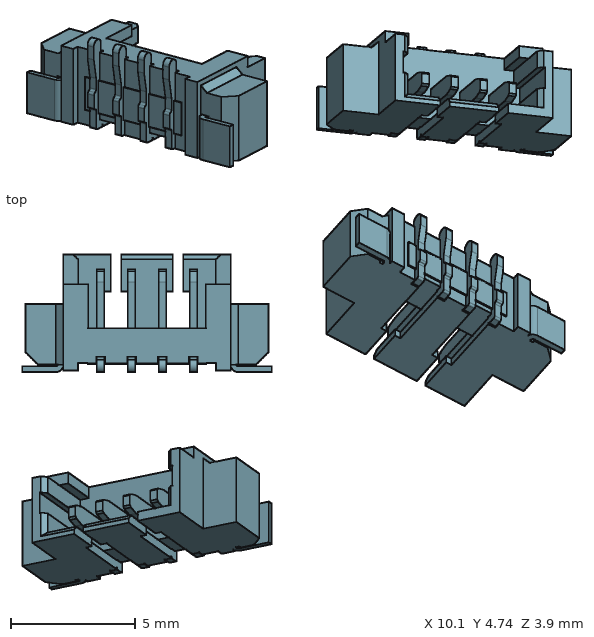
import cadquery as cq


length = 10.05
depth = 4.74
height = 3.9

housing_half = 3.38
housing_height = 3.3
rib_front = 0.06
rib_width = 0.6
wall_front = 0.36
wall_back = 1.78
rail_inner = 2.37
rail_back = 3.55
side_height = 2.81
side_inner = housing_half - rib_width
floor_top = 0.39
entry_chamfer = 0.2

groove_depth = 0.26
groove_bottom = 1.23
groove_top = 2.11

window_back = 3.25
notch_inner = 1.05
notch_width = 0.41

plate_half = 2.39
plate_front = 0.31
plate_bottom = 0.66
plate_top = 2.09

pin_count = 4
pin_pitch = 1.25
pin_width = 0.31
pin_thickness = 0.49
pin_radius = pin_thickness / 2
pin_neck_front = 0.16
pin_bump_front = 0.02
bend_top = 3.11
bend_bottom = 2.24
bump_top = 1.76
bump_upper_edge = 1.55
bump_lower_edge = 0.99
bump_bottom = 0.83
toe_radius = 0.09
pin_slot_width = 0.36
pin_slot_back = 0.62

blade_top = 1.65
blade_bottom = 0.86
blade_end = 4.15
taper_start = 3.64
taper_end = 4.06
taper_drop = 0.1
tip_drop = 0.18

ear_half = 4.89
ear_front = 0.3
ear_back = 2.75
ear_corner = 0.5
ear_ramp_width = 0.3
ear_ramp_height = 0.26

tab_thickness = 0.24
tab_height = 1.78
tab_inner_radius = 0.08
tab_bend_center = 3.68
tab_leg_end = 0.5
tab_clearance = 0.04
tab_recess_width = 0.37
tab_recess_depth = 0.1

pin_places = [(i - (pin_count - 1) / 2) * pin_pitch for i in range(pin_count)]


def block(x0, x1, y0, y1, z0, z1):
    return cq.Workplane("XY").box(x1 - x0, y1 - y0, z1 - z0, centered=False).translate((x0, y0, z0))


def both_sides(body):
    return body.union(body.mirror("YZ"))


def side_wall():
    """Right side wall, its rear inner corner chamfered and its inner face grooved."""
    outline = [
        (side_inner, rib_front),
        (housing_half, rib_front),
        (housing_half, depth),
        (side_inner + entry_chamfer, depth),
        (side_inner, depth - entry_chamfer),
    ]
    wall = cq.Workplane("XY").polyline(outline).close().extrude(side_height)
    groove = block(side_inner, side_inner + groove_depth, wall_back, depth, groove_bottom, groove_top)
    upper = block(side_inner, housing_half, rib_front, rail_back, side_height, housing_height)
    rail = block(rail_inner, side_inner, wall_back, rail_back, side_height, housing_height)
    return wall.cut(groove).union(upper).union(rail)


def floor():
    """Floor plate; its rear top edge is chamfered except at the left end section."""
    outer = side_inner + entry_chamfer
    plate = block(-outer, outer, wall_back, depth, 0, floor_top)
    wedge = (
        cq.Workplane("YZ")
        .polyline([(depth - entry_chamfer, floor_top), (depth, floor_top), (depth, floor_top - entry_chamfer)])
        .close()
        .extrude(outer + notch_inner)
        .translate((-notch_inner, 0, 0))
    )
    return plate.cut(wedge)


def housing():
    body = both_sides(side_wall())
    body = body.union(block(-side_inner, side_inner, wall_front, wall_back, 0, housing_height))
    body = body.union(floor())

    window_inner = pin_pitch / 2 + pin_width / 2
    window_outer = pin_pitch * 3 / 2 - pin_width / 2
    window = block(window_inner, window_outer, 0, window_back, 0, floor_top)
    notch = block(notch_inner, notch_inner + notch_width, 0, depth, 0, floor_top)
    body = body.cut(both_sides(window.union(notch)))

    for x in pin_places:
        half = pin_slot_width / 2
        body = body.cut(block(x - half, x + half, 0, pin_slot_back, 0, housing_height))
    return body.union(block(-plate_half, plate_half, plate_front, pin_slot_back, plate_bottom, plate_top))


def pin(x):
    """Upright leg with a round head, a back shoulder and a front bump, plus a blade tapered at its end."""
    bump_mid_front = (pin_neck_front + pin_bump_front) / 2
    bump_upper_mid = (bump_top + bump_upper_edge) / 2
    bump_lower_mid = (bump_lower_edge + bump_bottom) / 2
    leg = (
        cq.Workplane("YZ")
        .moveTo(pin_neck_front + toe_radius, 0)
        .lineTo(pin_slot_back - toe_radius, 0)
        .tangentArcPoint((pin_slot_back, toe_radius), relative=False)
        .lineTo(pin_slot_back, bend_bottom)
        .lineTo(pin_thickness, bend_bottom)
        .lineTo(pin_thickness, height - pin_radius)
        .threePointArc((pin_radius, height), (0, height - pin_radius))
        .lineTo(0, bend_top)
        .lineTo(pin_neck_front, bend_bottom)
        .lineTo(pin_neck_front, bump_top)
        .tangentArcPoint((bump_mid_front, bump_upper_mid), relative=False)
        .tangentArcPoint((pin_bump_front, bump_upper_edge), relative=False)
        .lineTo(pin_bump_front, bump_lower_edge)
        .tangentArcPoint((bump_mid_front, bump_lower_mid), relative=False)
        .tangentArcPoint((pin_neck_front, bump_bottom), relative=False)
        .lineTo(pin_neck_front, toe_radius)
        .tangentArcPoint((pin_neck_front + toe_radius, 0), relative=False)
        .close()
        .extrude(pin_width / 2, both=True)
    )
    blade_outline = [
        (pin_radius, blade_bottom),
        (taper_start, blade_bottom),
        (taper_end, blade_bottom + taper_drop),
        (blade_end, blade_bottom + tip_drop),
        (blade_end, blade_top - tip_drop),
        (taper_end, blade_top - taper_drop),
        (taper_start, blade_top),
        (pin_radius, blade_top),
    ]
    blade = cq.Workplane("YZ").polyline(blade_outline).close().extrude(pin_width / 2, both=True)
    return leg.union(blade).translate((x, 0, 0))


def ear():
    """Right ear with a cut front corner and a ramp rising to the housing, recessed around the tab."""
    body = block(housing_half, ear_half, ear_front, ear_back, 0, side_height)
    body = body.edges("|Z and >X and <Y").chamfer(ear_corner)
    ramp = (
        cq.Workplane("XZ")
        .polyline(
            [
                (housing_half, side_height),
                (housing_half + ear_ramp_width, side_height),
                (housing_half, side_height + ear_ramp_height),
            ]
        )
        .close()
        .extrude(ear_front - ear_back)
        .translate((0, ear_front, 0))
    )
    recess = block(
        housing_half,
        housing_half + tab_recess_width,
        ear_front,
        ear_front + tab_recess_depth,
        0,
        tab_height + tab_clearance,
    )
    return body.union(ramp).cut(recess)


def tab():
    """Right solder tab, flat at the front and bent a quarter turn into the ear."""
    outer_radius = tab_inner_radius + tab_thickness
    diagonal = 0.5 ** 0.5
    return (
        cq.Workplane("XY")
        .moveTo(length / 2, 0)
        .lineTo(length / 2, tab_thickness)
        .lineTo(tab_bend_center, tab_thickness)
        .threePointArc(
            (tab_bend_center - tab_inner_radius * diagonal, outer_radius - tab_inner_radius * diagonal),
            (tab_bend_center - tab_inner_radius, outer_radius),
        )
        .lineTo(tab_bend_center - tab_inner_radius, tab_leg_end)
        .lineTo(tab_bend_center - outer_radius, tab_leg_end)
        .lineTo(tab_bend_center - outer_radius, outer_radius)
        .threePointArc(
            (tab_bend_center - outer_radius * diagonal, outer_radius * (1 - diagonal)),
            (tab_bend_center, 0),
        )
        .close()
        .extrude(tab_height)
    )


result = housing().union(both_sides(ear().union(tab())))
for place in pin_places:
    result = result.union(pin(place))